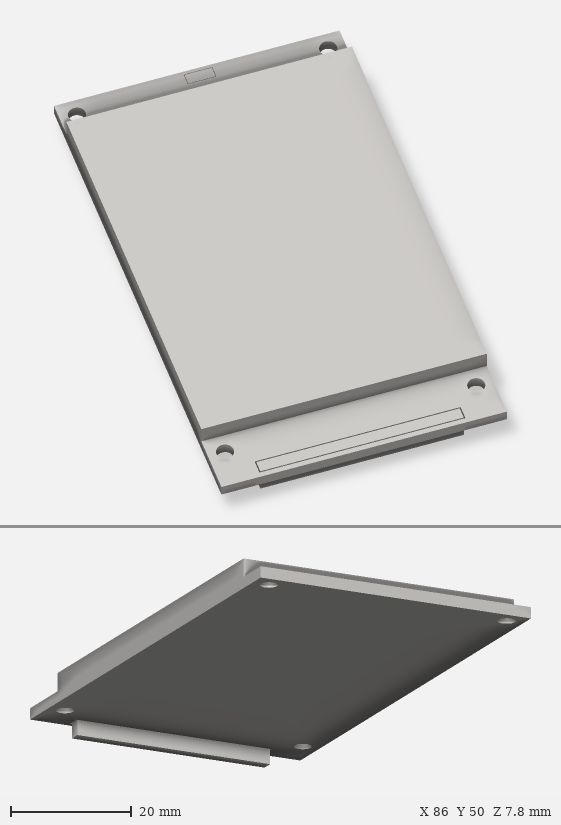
import cadquery as cq

BOARD_LENGTH = 86.0
BOARD_WIDTH = 50.0
BOARD_THICKNESS = 2.0
HOLE_DIAMETER = 3.0
HOLE_INSET = 3.0
RIGHT_HOLE_INSET = 7.0

DISPLAY_START = 6.4
DISPLAY_LENGTH = 69.3
MODULE_THICKNESS = 2.1
PANEL_THICKNESS = 1.1
SCREEN_START = 8.1
SCREEN_LENGTH = 66.6
SCREEN_WIDTH = 47.9
SCREEN_DEPTH = 0.3

HEADER_LENGTH = 35.6
HEADER_WIDTH = 2.1
HEADER_DROP = 2.6
HEADER_INSET = 2.15
SLOT_CLEARANCE = 0.215

CHIP_START = 0.7
CHIP_LENGTH = 2.0
CHIP_WIDTH = 4.8
CHIP_DEPTH = 0.9
CHIP_CLEARANCE = 0.1

LEFT_END = -BOARD_LENGTH / 2
RIGHT_END = BOARD_LENGTH / 2
HEADER_X = RIGHT_END - HEADER_INSET
PANEL_TOP = MODULE_THICKNESS + PANEL_THICKNESS


def block(start_x, length, width, bottom, height):
    """Box from start_x toward +X, centred on Y, standing on z = bottom."""
    box = cq.Workplane("XY").box(length, width, height, centered=(False, True, False))
    return box.translate((start_x, 0, bottom))


def make_chip():
    return block(LEFT_END + CHIP_START, CHIP_LENGTH, CHIP_WIDTH, -CHIP_DEPTH, CHIP_DEPTH)


def make_header():
    height = BOARD_THICKNESS + HEADER_DROP
    return block(HEADER_X - HEADER_WIDTH / 2, HEADER_WIDTH, HEADER_LENGTH, -height, height)


def make_board():
    board = block(LEFT_END, BOARD_LENGTH, BOARD_WIDTH, -BOARD_THICKNESS, BOARD_THICKNESS)

    hole_y = BOARD_WIDTH / 2 - HOLE_INSET
    hole_xs = (LEFT_END + HOLE_INSET, RIGHT_END - RIGHT_HOLE_INSET)
    hole_centres = [(x, y) for x in hole_xs for y in (-hole_y, hole_y)]
    holes = (
        cq.Workplane("XY")
        .pushPoints(hole_centres)
        .circle(HOLE_DIAMETER / 2)
        .extrude(-BOARD_THICKNESS)
    )

    slot_width = HEADER_WIDTH + 2 * SLOT_CLEARANCE
    slot_length = HEADER_LENGTH + 2 * SLOT_CLEARANCE
    slot = block(HEADER_X - slot_width / 2, slot_width, slot_length, -BOARD_THICKNESS, BOARD_THICKNESS)

    pocket_start = LEFT_END + CHIP_START - CHIP_CLEARANCE
    pocket_length = CHIP_LENGTH + 2 * CHIP_CLEARANCE
    pocket_width = CHIP_WIDTH + 2 * CHIP_CLEARANCE
    pocket = block(pocket_start, pocket_length, pocket_width, -CHIP_DEPTH, CHIP_DEPTH)
    return board.cut(holes).cut(slot).cut(pocket)


def make_module():
    return block(LEFT_END + DISPLAY_START, DISPLAY_LENGTH, BOARD_WIDTH, 0, MODULE_THICKNESS)


def make_screen():
    bottom = PANEL_TOP - SCREEN_DEPTH
    return block(LEFT_END + SCREEN_START, SCREEN_LENGTH, SCREEN_WIDTH, bottom, SCREEN_DEPTH)


def make_panel(screen):
    panel = block(
        LEFT_END + DISPLAY_START, DISPLAY_LENGTH, BOARD_WIDTH, MODULE_THICKNESS, PANEL_THICKNESS
    )
    return panel.cut(screen)


board = make_board()
module = make_module()
screen = make_screen()
panel = make_panel(screen)
header = make_header()
chip = make_chip()

result = cq.Compound.makeCompound(
    [board.val(), module.val(), panel.val(), screen.val(), header.val(), chip.val()]
)